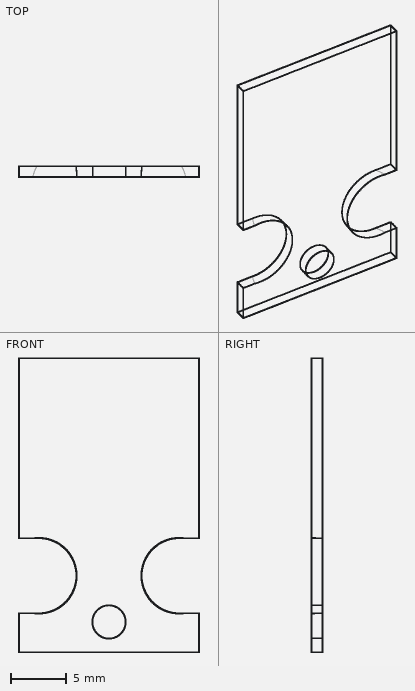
import cadquery as cq

plate_width = 16.35
plate_thickness = 1.0
plate_height = 26.7

notch_mouth_height = 6.8
notch_bottom = 3.55
notch_center_z = notch_bottom + notch_mouth_height / 2
round_center_depth = 1.8
round_front_radius = 3.45
round_back_radius = 3.405

hole_diameter = 3.0
hole_center_z = 2.75


def make_plate():
    """Flat plate centered on X and Y, with its bottom edge at Z = 0."""
    return cq.Workplane("XY").box(
        plate_width, plate_thickness, plate_height, centered=(True, True, False)
    )


def make_notch(side):
    """Cutter for one edge notch; side is -1 for the -X edge and +1 for the +X edge."""
    edge_x = side * plate_width / 2
    round_x = edge_x - side * round_center_depth
    mouth = (
        cq.Workplane("XZ")
        .center(edge_x, notch_center_z)
        .rect(2 * round_center_depth, notch_mouth_height)
        .extrude(plate_thickness / 2, both=True)
    )
    full_cone = cq.Solid.makeCone(
        round_front_radius,
        round_back_radius,
        plate_thickness,
        pnt=cq.Vector(round_x, -plate_thickness / 2, notch_center_z),
        dir=cq.Vector(0, 1, 0),
    )
    return mouth.union(cq.Workplane(full_cone))


def make_hole():
    """Cutter for the through hole."""
    return (
        cq.Workplane("XZ")
        .center(0, hole_center_z)
        .circle(hole_diameter / 2)
        .extrude(plate_thickness / 2, both=True)
    )


result = make_plate()
for side in (-1, 1):
    result = result.cut(make_notch(side))
result = result.cut(make_hole())